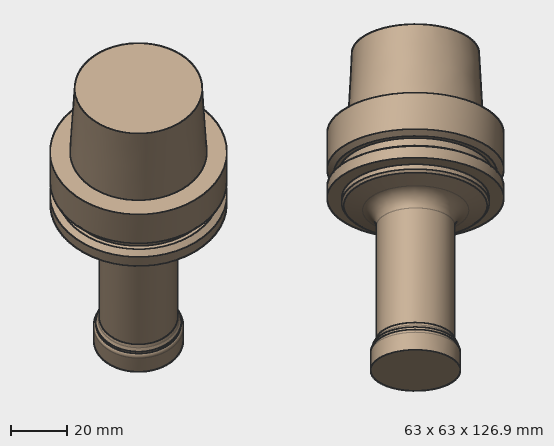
import cadquery as cq
import math

TOTAL_HEIGHT = 126.9
FLANGE_TOP = 94.9
FLANGE_BOTTOM = 68.9
GROOVE_TOP = 78.8
GROOVE_BOTTOM = 75.0
GROOVE_CHAMFER_HEIGHT = 1.5
BOSS_CHAMFER_TOP = 67.0
BOSS_BOTTOM = 66.0
FLARE_BOTTOM = 57.9
SHANK_BOTTOM = 11.9
COLLAR_CONE_TOP = 10.8
COLLAR_TOP = 9.5
NUT_HEIGHT = 8.5

TAPER_TOP_RADIUS = 22.7
TAPER_BASE_RADIUS = 24.4
FLANGE_RADIUS = 63.0 / 2
GROOVE_LIP_RADIUS = 29.0
GROOVE_RADIUS = 55.0 / 2
BOSS_RADIUS = 52.5 / 2
BOSS_BOTTOM_RADIUS = 25.5
SHANK_RADIUS = 28.0 / 2
COLLAR_CONE_RADIUS = 14.5
COLLAR_RADIUS = 15.2
NUT_RADIUS = 16.0

NUT_SHOULDER_HEIGHT = 1.4

FLARE_ANGLE = math.radians(15)


def make_holder():
    """Revolved tool holder: taper, grooved flange, boss, flare, shank and collar."""
    corner_z = BOSS_BOTTOM - (BOSS_BOTTOM_RADIUS - SHANK_RADIUS) * math.tan(FLARE_ANGLE)
    tangent_length = corner_z - FLARE_BOTTOM
    arc_radius = tangent_length / math.tan((math.pi / 2 - FLARE_ANGLE) / 2)
    arc_start = (
        SHANK_RADIUS + tangent_length * math.cos(FLARE_ANGLE),
        corner_z + tangent_length * math.sin(FLARE_ANGLE),
    )
    arc_middle_angle = (math.pi / 2 - FLARE_ANGLE) / 2
    arc_middle = (
        SHANK_RADIUS + arc_radius * (1 - math.cos(arc_middle_angle)),
        FLARE_BOTTOM + arc_radius * math.sin(arc_middle_angle),
    )

    profile = (
        cq.Workplane("XZ")
        .moveTo(0, TOTAL_HEIGHT)
        .lineTo(TAPER_TOP_RADIUS, TOTAL_HEIGHT)
        .lineTo(TAPER_BASE_RADIUS, FLANGE_TOP)
        .lineTo(FLANGE_RADIUS, FLANGE_TOP)
        .lineTo(FLANGE_RADIUS, GROOVE_TOP + GROOVE_CHAMFER_HEIGHT)
        .lineTo(GROOVE_LIP_RADIUS, GROOVE_TOP)
        .lineTo(GROOVE_RADIUS, GROOVE_TOP)
        .lineTo(GROOVE_RADIUS, GROOVE_BOTTOM)
        .lineTo(GROOVE_LIP_RADIUS, GROOVE_BOTTOM)
        .lineTo(FLANGE_RADIUS, GROOVE_BOTTOM - GROOVE_CHAMFER_HEIGHT)
        .lineTo(FLANGE_RADIUS, FLANGE_BOTTOM)
        .lineTo(BOSS_RADIUS, FLANGE_BOTTOM)
        .lineTo(BOSS_RADIUS, BOSS_CHAMFER_TOP)
        .lineTo(BOSS_BOTTOM_RADIUS, BOSS_BOTTOM)
        .lineTo(*arc_start)
        .threePointArc(arc_middle, (SHANK_RADIUS, FLARE_BOTTOM))
        .lineTo(SHANK_RADIUS, SHANK_BOTTOM)
        .lineTo(COLLAR_CONE_RADIUS, COLLAR_CONE_TOP)
        .lineTo(COLLAR_RADIUS, COLLAR_TOP)
        .lineTo(COLLAR_RADIUS, NUT_HEIGHT)
        .lineTo(0, NUT_HEIGHT)
        .close()
    )
    return profile.revolve(360, (0, 0, 0), (0, 1, 0))


def make_nut():
    """Solid round nut with a convex shoulder below the collar."""
    shoulder_base = NUT_HEIGHT - NUT_SHOULDER_HEIGHT
    profile = (
        cq.Workplane("XZ")
        .lineTo(NUT_RADIUS, 0)
        .lineTo(NUT_RADIUS, shoulder_base)
        .tangentArcPoint((COLLAR_RADIUS, NUT_HEIGHT), relative=False)
        .lineTo(0, NUT_HEIGHT)
        .close()
    )
    return profile.revolve(360, (0, 0, 0), (0, 1, 0))


holder = make_holder()
nut = make_nut()

result = cq.Compound.makeCompound([holder.val(), nut.val()])